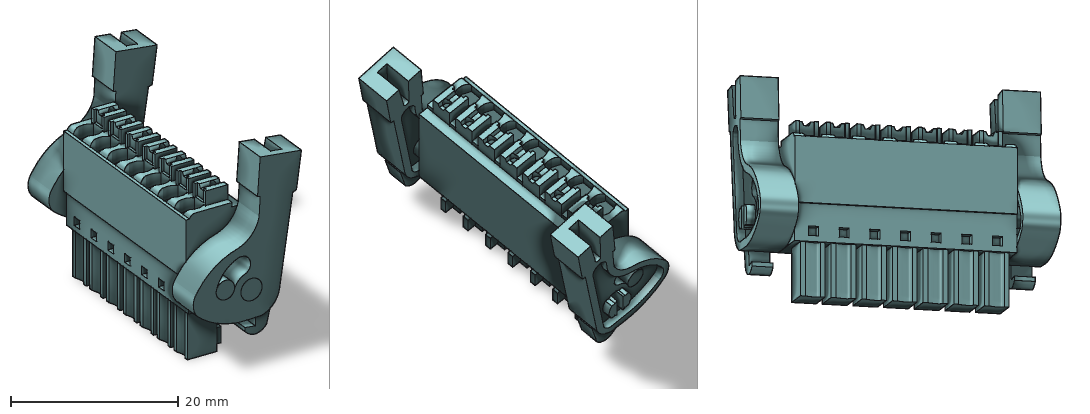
import cadquery as cq
import math


pole_count = 7
pole_pitch = 3.8
pole_x = [(i - (pole_count - 1) / 2) * pole_pitch for i in range(pole_count)]

total_length = 37.25
lever_width = 4.75
lever_pocket_depth = 1.08
lever_floor = lever_width - lever_pocket_depth
grip_slot_depth = 3.65
hook_inset = 1.08
hook_width = 2.6
left_lever_x = -total_length / 2
right_lever_x = total_length / 2 - lever_width

lever_gap = 0.1
housing_half = total_length / 2 - lever_width - lever_gap
housing_length = 2 * housing_half
housing_back = 1.68
housing_front = -6.22
skirt_front = -5.85
skirt_top = 0.82
housing_bottom = -3.85
ledge_z = 8.95
deck_z = 9.55
deck_back = 0.3
ledge_front = -5.75
deck_round_run = 0.82
deck_round_radius = 0.95

pin_radius = 1.5
cap_radius = 1.85
cap_height = 2.45
cap_thickness = lever_pocket_depth
pin_slot_width = 0.97
pin_slot_depth = 2.25
stud_radius = 1.3
stud_y, stud_z = -3.7, 0.95
guide_radius = math.hypot(stud_y, stud_z)
guide_start = math.atan2(stud_z, stud_y)
guide_end = math.radians(112)

entry_y = -4.0
entry_radius = 1.5
entry_floor_z = 7.75
entry_mouth_half = 0.97
entry_shoulder_half = 1.4
entry_shoulder_y = -4.7
window_width = 1.23
window_height = 1.15
window_z = -2.55
window_depth = 1.1
leg_width = 3.05
leg_back = -1.3
leg_front = -5.48
leg_bottom = -10.47
leg_land = 0.6
tab_width = 0.82
tab_back = 0.0
tab_bottom = -10.15
tab_top = -7.95

button_width = 2.85
button_back = deck_back
button_front = -2.87
button_top = 11.5
recess_width = 1.85
recess_depth = 0.37
recess_height = 1.75
notch_top = 1.1
notch_bottom = 0.65
notch_depth = 0.5
probe_y = -0.7
probe_radius = 0.55
probe_depth = 1.1


def box(x0, x1, y0, y1, z0, z1):
    """Box between two opposite corners."""
    return cq.Workplane("XY").box(x1 - x0, y1 - y0, z1 - z0, centered=False).translate((x0, y0, z0))


def side_plane(x):
    """Sketch plane at x with local axes Y and Z, extruding toward +X."""
    return cq.Workplane("YZ", origin=(x, 0, 0))


def guide_point(radius, angle):
    return (radius * math.cos(angle), radius * math.sin(angle))


def lever_outline(x):
    return (
        side_plane(x)
        .moveTo(7.08, 16.85)
        .lineTo(1.23, 17.5)
        .lineTo(0.85, 12.3)
        .lineTo(1.23, 12.2)
        .lineTo(1.08, 9.55)
        .threePointArc((0.1, 7.45), (-1.95, 6.05))
        .threePointArc((-5.18, 4.45), (-7.53, 1.9))
        .lineTo(-7.95, 1.25)
        .threePointArc((-8.25, 0.0), (-7.7, -1.5))
        .threePointArc((-4.47, -3.4), (-0.75, -3.95))
        .lineTo(1.4, -3.88)
        .threePointArc((2.87, -3.05), (3.95, -1.1))
        .lineTo(5.85, 11.5)
        .lineTo(6.37, 11.7)
        .close()
    )


def lever_pocket(x):
    return (
        side_plane(x)
        .moveTo(2.8, -1.4)
        .lineTo(4.6, 10.62)
        .threePointArc((3.45, 11.85), (2.27, 10.73))
        .lineTo(2.15, 9.6)
        .threePointArc((1.0, 6.95), (-1.7, 5.03))
        .threePointArc((-4.15, 4.0), (-6.15, 2.3))
        .lineTo(-7.23, 0.55)
        .threePointArc((-7.3, -0.4), (-6.67, -1.3))
        .threePointArc((-4.35, -2.4), (-1.95, -2.85))
        .lineTo(1.4, -2.85)
        .threePointArc((2.35, -2.35), (2.8, -1.4))
        .close()
        .extrude(lever_pocket_depth)
    )


def grip_slot(x):
    return (
        side_plane(x)
        .moveTo(5.03, 17.33)
        .lineTo(4.15, 13.05)
        .threePointArc((3.73, 12.78), (3.28, 13.05))
        .lineTo(3.4, 17.5)
        .close()
        .extrude(grip_slot_depth)
    )


def lever_hook(x):
    return (
        side_plane(x + hook_inset)
        .moveTo(3.65, -2.3)
        .lineTo(2.85, -5.78)
        .threePointArc((2.12, -6.5), (1.2, -6.78))
        .threePointArc((0.45, -6.6), (-0.25, -6.05))
        .lineTo(-0.25, -5.5)
        .lineTo(1.2, -5.65)
        .lineTo(1.3, -3.35)
        .close()
        .extrude(hook_width)
    )


def guide_slot(x):
    """Curved slot about the pivot, in which the guide stud travels."""
    inner = guide_radius - stud_radius
    outer = guide_radius + stud_radius
    middle = (guide_start + guide_end) / 2
    start_side = guide_start + stud_radius / guide_radius
    end_side = guide_end - stud_radius / guide_radius
    return (
        side_plane(x)
        .moveTo(*guide_point(outer, guide_start))
        .threePointArc(guide_point(outer, middle), guide_point(outer, guide_end))
        .threePointArc(guide_point(guide_radius, end_side), guide_point(inner, guide_end))
        .threePointArc(guide_point(inner, middle), guide_point(inner, guide_start))
        .threePointArc(guide_point(guide_radius, start_side), guide_point(outer, guide_start))
        .close()
        .extrude(lever_width)
    )


def make_lever(x):
    """Locking lever whose open pocket faces -X, with its -X face at x."""
    pivot_bore = side_plane(x).circle(pin_radius).extrude(lever_width)
    body = lever_outline(x).extrude(lever_width).union(lever_hook(x))
    body = body.cut(lever_pocket(x)).cut(grip_slot(x))
    return body.cut(pivot_bore).cut(guide_slot(x))


def housing_block():
    return (
        side_plane(-housing_half)
        .moveTo(housing_back, housing_bottom)
        .lineTo(housing_back, ledge_z)
        .lineTo(deck_back, ledge_z)
        .lineTo(deck_back, deck_z)
        .lineTo(ledge_front + deck_round_run, deck_z)
        .radiusArc((ledge_front, ledge_z), -deck_round_radius)
        .lineTo(housing_front, ledge_z)
        .lineTo(housing_front, skirt_top)
        .lineTo(skirt_front, skirt_top)
        .lineTo(skirt_front, housing_bottom)
        .close()
        .extrude(housing_length)
    )


def wire_entry(x):
    """Round wire entry that narrows to a flat end at the front ledge."""
    height = deck_z - entry_floor_z
    floor = cq.Workplane("XY", origin=(x, 0, entry_floor_z))
    mouth = floor.polyline([
        (-entry_shoulder_half, entry_shoulder_y),
        (-entry_radius, entry_y),
        (entry_radius, entry_y),
        (entry_shoulder_half, entry_shoulder_y),
        (entry_mouth_half, ledge_front),
        (-entry_mouth_half, ledge_front),
    ]).close().extrude(height)
    return floor.center(0, entry_y).circle(entry_radius).extrude(height).union(mouth)


def button_seat(x):
    half = button_width / 2
    return box(x - half, x + half, button_front, button_back, entry_floor_z, deck_z)


def test_window(x):
    half = window_width / 2
    return box(x - half, x + half, skirt_front, skirt_front + window_depth,
               window_z - window_height / 2, window_z + window_height / 2)


def plug_leg(x):
    """Leg below the housing with a groove down its front and a tab at its back."""
    half = leg_width / 2
    leg = (
        cq.Workplane("XY", origin=(x - half, leg_front, leg_bottom))
        .lineTo(leg_land, 0)
        .lineTo(1.08, 0.2)
        .threePointArc((1.5, 0.3), (1.95, 0.35))
        .threePointArc((2.27, 0.22), (leg_width - leg_land, 0))
        .lineTo(leg_width, 0)
        .lineTo(leg_width, leg_back - leg_front)
        .lineTo(0, leg_back - leg_front)
        .close()
        .extrude(housing_bottom - leg_bottom)
    )
    tab = box(x - tab_width / 2, x + tab_width / 2, leg_back, tab_back, tab_bottom, tab_top)
    return leg.union(tab)


def guide_stud(x, length):
    return side_plane(x).center(stud_y, stud_z).circle(stud_radius).extrude(length)


def left_pivot():
    """Slotted snap pin whose cap fills the depth of the lever pocket, with its guide stud."""
    floor_x = left_lever_x + lever_pocket_depth
    tip_x = floor_x - cap_thickness
    reach = lever_floor + lever_gap
    pin = side_plane(tip_x).circle(pin_radius).extrude(reach + cap_thickness)
    cap_flats = box(tip_x, floor_x, -cap_radius, cap_radius, -cap_height / 2, cap_height / 2)
    cap = side_plane(tip_x).circle(cap_radius).extrude(cap_thickness).intersect(cap_flats)
    half = pin_slot_width / 2
    slot_center_x = tip_x + pin_slot_depth - half
    slot = box(tip_x, slot_center_x, -half, half, -pin_radius, pin_radius)
    slot_end = (
        cq.Workplane("XY", origin=(slot_center_x, 0, -pin_radius)).circle(half).extrude(2 * pin_radius)
    )
    return pin.union(cap).cut(slot).cut(slot_end).union(guide_stud(floor_x, reach))


def right_pivot():
    """Plain pin and guide stud that end flush with the outer face of the lever."""
    reach = lever_width + lever_gap
    pin = side_plane(housing_half).circle(pin_radius).extrude(reach)
    return pin.union(guide_stud(housing_half, reach))


def make_housing():
    body = housing_block()
    for x in pole_x:
        body = body.cut(button_seat(x)).cut(wire_entry(x)).cut(test_window(x))
        body = body.union(plug_leg(x))
    return body.union(left_pivot()).union(right_pivot())


def make_button(x):
    """Push button with a V notch along its top, a probe hole and a front recess."""
    half = button_width / 2
    body = box(x - half, x + half, button_front, button_back, entry_floor_z, button_top)
    recess = box(x - recess_width / 2, x + recess_width / 2, button_front,
                 button_front + recess_depth, button_top - recess_height, button_top)
    notch = (
        cq.Workplane("XZ", origin=(x, button_back, button_top))
        .polyline([
            (-notch_top / 2, 0),
            (notch_top / 2, 0),
            (notch_bottom / 2, -notch_depth),
            (-notch_bottom / 2, -notch_depth),
        ])
        .close()
        .extrude(button_back - button_front)
    )
    probe_hole = (
        cq.Workplane("XY", origin=(x, probe_y, button_top)).circle(probe_radius).extrude(-probe_depth)
    )
    return body.cut(recess).cut(notch).cut(probe_hole)


housing = make_housing()
levers = [make_lever(x) for x in (left_lever_x, right_lever_x)]
buttons = [make_button(x) for x in pole_x]

result = cq.Compound.makeCompound(
    [housing.val()] + [lever.val() for lever in levers] + [button.val() for button in buttons]
)